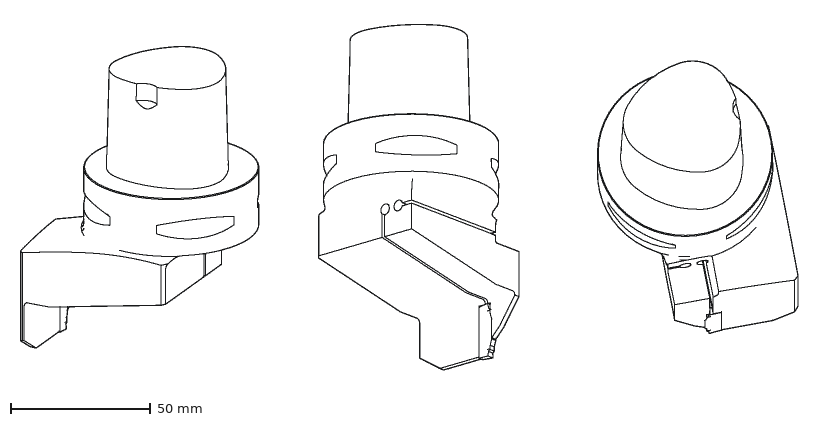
import cadquery as cq
import math


overall_width = 64.5
overall_height = 108.0
reach = 108.0
select_margin = 0.1

shank_height = 38.0
shank_lobe_reach = 23.3
shank_flat_reach = 20.5
shank_lobe_radius = 15.0
shank_lobes = 3
shank_taper = 1 / 40
key_radius = 5.6
key_depth = 2.0
key_length = 6.5

flange_diameter = 63.0
flange_radius = flange_diameter / 2
flange_height = 22.0
flange_chamfer = 0.3
grip_z = -12.1
grip_floor_distance = 27.9
grip_floor_width = 3.2
grip_flank_angle = 30
grip_floor_fillet = 0.4
grip_count = 4
first_grip_angle = 45

arm_left = -44.7
arm_right = 13.9
arm_front = flange_radius - overall_width
arm_back = 12.4
corner_chamfer_left = 1.5
corner_chamfer_right = 1.2
neck_fillet = 4.0
plate_thickness = 1.1
ring_top = -22.2
ring_radius = 1.2
cone_angle = 15
arm_right_bottom = -39.4
arm_bottom = -48.3
slope_end_x = -32.1

blade_thickness = 2.3
blade_right = arm_left + blade_thickness
blade_bottom = -69.2
blade_root_fillet = 1.4
front_cut_y = -23.4
front_cut_z = -63.1
clamp_corner_z = -49.6
clamp_knee = (5.2, -59.6)
clamp_tip = (1.0, -63.7)

step_wall_x = -32.0
step_side_y = -3.7
step_floor = -32.4
step_side_fillet = 4.2
step_wall_fillet = 0.8

relief_diameter = 4.0
relief_z = -29.0
back_relief_y = 6.0
front_relief_y = -0.2
slit_width = 1.2
clamp_slit_y = -1.1

insert_length = 20.1
insert_bottom = shank_height - overall_height
insert_center_z = insert_bottom + insert_length / 2
insert_center_x = arm_left + blade_thickness / 2
insert_seat_y = -4.8
insert_edge_y = -0.1
insert_shoulder_y = 0.6
insert_crown_y = 1.4
end_relief = 0.3
rake_length = 1.8
shoulder_end = 7.7
shoulder_start = 6.0
crown_end = 3.8
head_flare = 0.27
flare_inner = (0.6, 6.5)
flare_outer = (-3.9, 9.6)
head_step = 7.3
pocket_roof = insert_bottom + insert_length


def x_prism(points):
    """Prism along X, all the way through, from (y, z) points."""
    return cq.Workplane("YZ").workplane(offset=-reach / 2).polyline(points).close().extrude(reach)


def x_box(y_low, y_high, z_low, z_high):
    return x_prism([(y_low, z_low), (y_high, z_low), (y_high, z_high), (y_low, z_high)])


def polar(radius, angle):
    return (radius * math.cos(angle), radius * math.sin(angle))


def shank_section(outline, inset):
    """Draw the shank's outline as lobe and flat arcs in turn, all tangent, moved inward by inset."""
    lobe_center = shank_lobe_reach - shank_lobe_radius
    rise = shank_lobe_reach - shank_flat_reach
    flat_center = (2 * rise * lobe_center - rise**2) / (lobe_center - 2 * rise)
    half_pitch = math.pi / shank_lobes
    flat_x, flat_y = polar(-flat_center, half_pitch)
    joint_direction = math.atan2(-flat_y, lobe_center - flat_x)
    joint_x = lobe_center + (shank_lobe_radius - inset) * math.cos(joint_direction)
    joint_y = (shank_lobe_radius - inset) * math.sin(joint_direction)
    joint_radius = math.hypot(joint_x, joint_y)
    joint_angle = math.atan2(joint_y, joint_x)

    first_lobe = math.pi / 2
    outline = outline.moveTo(*polar(joint_radius, first_lobe - joint_angle))
    for i in range(shank_lobes):
        lobe = first_lobe + 2 * half_pitch * i
        flat = lobe + half_pitch
        next_lobe = flat + half_pitch
        outline = outline.threePointArc(
            polar(shank_lobe_reach - inset, lobe), polar(joint_radius, lobe + joint_angle)
        )
        outline = outline.threePointArc(
            polar(shank_flat_reach - inset, flat), polar(joint_radius, next_lobe - joint_angle)
        )
    return outline.close()


def make_shank():
    top_inset = shank_taper * shank_height
    base = shank_section(cq.Workplane("XY"), 0)
    shank = shank_section(base.workplane(offset=shank_height), top_inset).loft(ruled=True)
    flat_y = top_inset - shank_flat_reach
    notch_axis_y = flat_y + key_depth - key_radius
    floor_z = shank_height - key_length
    notch = (
        cq.Workplane("XZ", origin=(0, notch_axis_y, 0))
        .moveTo(0, floor_z - key_radius)
        .lineTo(key_radius, floor_z)
        .lineTo(key_radius, shank_height)
        .lineTo(0, shank_height)
        .close()
        .revolve(360, (0, 0), (0, 1))
    )
    return shank.cut(notch)


def make_flange():
    flange = cq.Workplane("XY").circle(flange_radius).extrude(-flange_height)
    flange = flange.faces(">Z").edges().chamfer(flange_chamfer)
    groove_depth = flange_radius - grip_floor_distance
    floor_half = grip_floor_width / 2
    mouth_half = floor_half + groove_depth * math.tan(math.radians(grip_flank_angle))
    groove = (
        cq.Workplane("XZ", origin=(0, flange_radius, 0))
        .polyline([
            (grip_floor_distance, grip_z - floor_half),
            (flange_radius, grip_z - mouth_half),
            (flange_radius, grip_z + mouth_half),
            (grip_floor_distance, grip_z + floor_half),
        ])
        .close()
        .extrude(flange_diameter)
    )
    groove = groove.faces("<X").edges("|Y").fillet(grip_floor_fillet)
    for i in range(grip_count):
        angle = first_grip_angle + i * 360 / grip_count
        flange = flange.cut(groove.rotate((0, 0, 0), (0, 0, 1), angle))
    return flange


def cone_envelope():
    """Turned limit of the arm: flared ring under the flange, then a falling cone."""
    slope = math.radians(cone_angle)
    ring_center_r = flange_radius + ring_radius

    def ring_point(angle):
        return (ring_center_r - ring_radius * math.cos(angle), ring_top - ring_radius * math.sin(angle))

    ring_sweep = math.pi / 2 - slope
    ring_end = ring_point(ring_sweep)
    outer_z = ring_end[1] - (reach - ring_end[0]) * math.tan(slope)
    return (
        cq.Workplane("XZ")
        .moveTo(0, -flange_height)
        .lineTo(flange_radius, -flange_height)
        .lineTo(flange_radius, ring_top)
        .threePointArc(ring_point(ring_sweep / 2), ring_end)
        .lineTo(reach, outer_z)
        .lineTo(reach, -reach)
        .lineTo(0, -reach)
        .close()
        .revolve(360, (0, 0), (0, 1))
    )


def side_block():
    """Arm and blade as a prism along Y, filleted to a plate that stands in for the flange's underside."""
    block_front = arm_front - neck_fillet
    block = (
        cq.Workplane("XZ", origin=(0, arm_back, 0))
        .polyline([
            (arm_left, -flange_height),
            (arm_right, -flange_height),
            (arm_right, arm_right_bottom),
            (slope_end_x, arm_bottom),
            (blade_right, arm_bottom),
            (blade_right, blade_bottom),
            (arm_left, blade_bottom),
        ])
        .close()
        .extrude(arm_back - block_front)
    )
    root_edge = cq.selectors.NearestToPointSelector((blade_right, (block_front + arm_back) / 2, arm_bottom))
    block = block.edges("|Y").edges(root_edge).fillet(blade_root_fillet)

    plate_margin = 3 * neck_fillet
    plate_length = arm_right + plate_margin - arm_left
    plate_width = arm_back + plate_margin - block_front
    plate = cq.Workplane("XY", origin=(arm_left, block_front, -flange_height)).box(
        plate_length, plate_width, plate_thickness, centered=False
    )
    right_edge = cq.selectors.NearestToPointSelector((arm_right, 0, -flange_height))
    back_edge = cq.selectors.NearestToPointSelector(((arm_left + arm_right) / 2, arm_back, -flange_height))
    return block.union(plate).edges(right_edge + back_edge).fillet(neck_fillet)


def make_arm():
    """Side block cut to its outlines along X and Z and turned down to the flange and cone."""
    end_outline = x_prism([
        (arm_front, 0),
        (arm_front, front_cut_z),
        (front_cut_y, blade_bottom),
        (insert_seat_y, blade_bottom),
        clamp_tip,
        clamp_knee,
        (arm_back, clamp_corner_z),
        (reach, clamp_corner_z),
        (reach, 0),
    ])
    right_corner_x = arm_right - corner_chamfer_right
    corner_outline = (
        cq.Workplane("XY")
        .polyline([
            (arm_left, arm_front + corner_chamfer_left),
            (arm_left + corner_chamfer_left, arm_front),
            (right_corner_x, arm_front),
            (right_corner_x + reach, arm_front + reach),
            (arm_left, arm_front + reach),
        ])
        .close()
        .extrude(-reach)
    )
    return side_block().intersect(end_outline).intersect(corner_outline).intersect(cone_envelope())


def clamp_step():
    """Cutter that lowers the top of the clamp beside the flange."""
    length = step_wall_x + reach / 2
    width = reach / 2 - step_side_y
    height = -flange_height - step_floor
    cutter = cq.Workplane("XY", origin=(-reach / 2, step_side_y, step_floor)).box(
        length, width, height, centered=False
    )
    cutter = cutter.edges("|X and <Y and <Z").fillet(step_side_fillet)
    wall_edges = cq.selectors.BoxSelector(
        (step_wall_x - select_margin, step_side_y - select_margin, step_floor - select_margin),
        (step_wall_x + select_margin, reach, -flange_height - select_margin),
    )
    return cutter.edges(wall_edges).fillet(step_wall_fillet)


def clamp_relief():
    """Cross holes and slits, all along X."""
    holes = (
        cq.Workplane("YZ", origin=(-reach / 2, 0, 0))
        .pushPoints([(back_relief_y, relief_z), (front_relief_y, relief_z)])
        .circle(relief_diameter / 2)
        .extrude(reach)
    )
    half = slit_width / 2
    back_slit = x_box(back_relief_y, reach, relief_z - half, relief_z + half)
    clamp_slit = x_box(clamp_slit_y - half, clamp_slit_y + half, pocket_roof - half, relief_z)
    return holes.union(back_slit).union(clamp_slit)


def insert_pocket():
    """Room for the insert: seat, roof and the clamp's grip on shoulder and crown."""
    return x_prism([
        (insert_seat_y, -reach),
        (insert_seat_y, pocket_roof),
        (insert_shoulder_y, pocket_roof),
        (insert_shoulder_y, insert_center_z + shoulder_start),
        (insert_crown_y, insert_center_z + crown_end),
        (insert_crown_y, -reach),
    ])


def make_holder():
    arm = make_arm().cut(clamp_step()).cut(clamp_relief()).cut(insert_pocket())
    return make_flange().union(make_shank()).union(arm)


def insert_outline():
    """(y, z) outline of the insert, mirrored about its middle."""
    half_length = insert_length / 2
    half = [
        (insert_seat_y, half_length - end_relief),
        (insert_edge_y, half_length),
        (insert_edge_y, half_length - rake_length),
        (insert_shoulder_y, shoulder_end),
        (insert_shoulder_y, shoulder_start),
        (insert_crown_y, crown_end),
    ]
    upper = [(y, insert_center_z + d) for y, d in half]
    lower = [(y, insert_center_z - d) for y, d in reversed(half)]
    return upper + lower


def insert_head():
    """Wedge that widens from the flare line to the cutting edge at the insert's upper end."""
    line_y = flare_outer[0] - flare_inner[0]
    line_d = flare_outer[1] - flare_inner[1]
    line_length = math.hypot(line_y, line_d)
    to_edge_y = insert_edge_y - flare_inner[0]
    to_edge_d = insert_length / 2 - flare_inner[1]
    edge_distance = abs(line_y * to_edge_d - line_d * to_edge_y) / line_length
    body_half = blade_thickness / 2
    edge_half = body_half + head_flare
    wedge_plane = cq.Plane(
        origin=(insert_center_x, flare_inner[0], insert_center_z + flare_inner[1]),
        xDir=(1, 0, 0),
        normal=(0, line_y, line_d),
    )
    return (
        cq.Workplane(wedge_plane)
        .polyline([
            (-body_half, 0),
            (body_half, 0),
            (edge_half, edge_distance),
            (-edge_half, edge_distance),
        ])
        .close()
        .extrude(2 * line_length, both=True)
    )


def make_insert():
    body = (
        cq.Workplane("YZ", origin=(arm_left, 0, 0))
        .polyline(insert_outline())
        .close()
        .extrude(blade_thickness)
    )
    beyond_step = x_box(-reach, reach, insert_center_z + head_step, 0)
    upper_head = insert_head().intersect(x_prism(insert_outline())).intersect(beyond_step)
    lower_head = upper_head.mirror("XY", (0, 0, insert_center_z))
    return body.union(upper_head).union(lower_head)


holder = make_holder()
insert = make_insert()
result = cq.Compound.makeCompound([holder.solids().val(), insert.solids().val()])